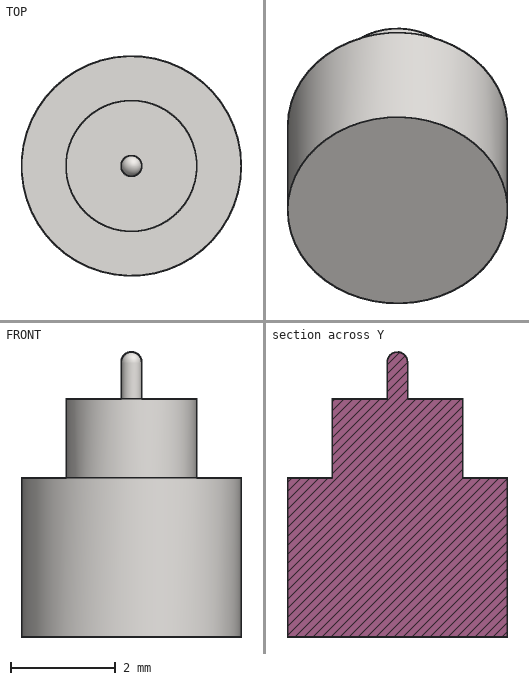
import cadquery as cq

total_height = 5.45
body_diameter = 4.2

body_height = 3.04
collar_diameter = 2.5
collar_height = 1.51
insulator_diameter = 1.95
pin_diameter = 0.4

collar_top = body_height + collar_height
pin_radius = pin_diameter / 2
pin_straight_height = total_height - collar_top - pin_radius


def cylinder(diameter, height, base_z):
    """Upright cylinder centred on the Z axis."""
    return cq.Workplane("XY").workplane(offset=base_z).circle(diameter / 2).extrude(height)


body = cylinder(body_diameter, body_height, 0)
insulator = cylinder(insulator_diameter, collar_height, body_height)
collar = cylinder(collar_diameter, collar_height, body_height).cut(insulator)

pin_tip = cq.Workplane("XY").sphere(pin_radius).translate((0, 0, total_height - pin_radius))
pin = cylinder(pin_diameter, pin_straight_height, collar_top).union(pin_tip)

result = body.union(collar, clean=False).union(insulator, clean=False).union(pin, clean=False)